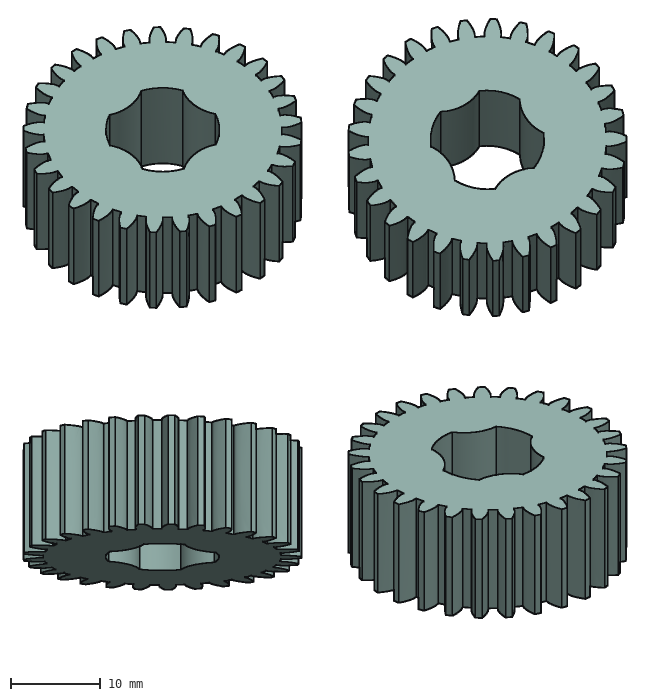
import cadquery as cq
import math

TEETH = 29
OVERALL_LENGTH = 31.0
FACE_WIDTH = 12.5
PRESSURE_ANGLE = math.radians(20)
ADDENDUM_FACTOR = 1.0
DEDENDUM_FACTOR = 1.25
FLANK_STEPS = 6

BORE_RADIUS = 6.32
KEY_COUNT = 4
KEY_RADIUS = 5.08
KEY_INNER_DISTANCE = 5.1


def involute(angle):
    return math.tan(angle) - angle


def half_tooth_angle(flank_angle):
    """Angle from the tooth centre line to its flank, where the local pressure angle is flank_angle."""
    half_angle_at_pitch = math.pi / (2 * TEETH)
    return half_angle_at_pitch + involute(PRESSURE_ANGLE) - involute(flank_angle)


TOOTH_PITCH = 2 * math.pi / TEETH
TIP_TO_PITCH_RATIO = 1 + 2 * ADDENDUM_FACTOR / TEETH
TIP_FLANK_ANGLE = math.acos(math.cos(PRESSURE_ANGLE) / TIP_TO_PITCH_RATIO)
TIP_HALF_ANGLE = half_tooth_angle(TIP_FLANK_ANGLE)
BASE_HALF_ANGLE = half_tooth_angle(0)

TIP_RADIUS = OVERALL_LENGTH / 2 / math.cos(TOOTH_PITCH / 4 - TIP_HALF_ANGLE)
PITCH_RADIUS = TIP_RADIUS / TIP_TO_PITCH_RATIO
BASE_RADIUS = PITCH_RADIUS * math.cos(PRESSURE_ANGLE)
MODULE = 2 * PITCH_RADIUS / TEETH
ROOT_RADIUS = PITCH_RADIUS - DEDENDUM_FACTOR * MODULE


def polar(radius, angle):
    return (radius * math.cos(angle), radius * math.sin(angle))


def flank(centre, side):
    """Involute points from base to tip, on the side (-1 or +1) of the tooth centre line."""
    flank_angles = [TIP_FLANK_ANGLE * step / FLANK_STEPS for step in range(FLANK_STEPS + 1)]
    return [
        polar(BASE_RADIUS / math.cos(angle), centre + side * half_tooth_angle(angle))
        for angle in flank_angles
    ]


def add_tooth(outline, centre):
    """Continue the outline over one tooth and along the root to the next tooth."""
    rising = flank(centre, -1)
    falling = flank(centre, 1)[::-1]
    outline = outline.lineTo(*rising[0])
    outline = outline.spline(rising[1:], includeCurrent=True)
    outline = outline.threePointArc(polar(TIP_RADIUS, centre), falling[0])
    outline = outline.spline(falling[1:], includeCurrent=True)
    outline = outline.lineTo(*polar(ROOT_RADIUS, centre + BASE_HALF_ANGLE))
    return outline.threePointArc(
        polar(ROOT_RADIUS, centre + TOOTH_PITCH / 2),
        polar(ROOT_RADIUS, centre + TOOTH_PITCH - BASE_HALF_ANGLE),
    )


def gear_blank():
    """Gear body: radial flanks below the base circle and involutes above it."""
    outline = cq.Workplane("XY").moveTo(*polar(ROOT_RADIUS, -BASE_HALF_ANGLE))
    for tooth in range(TEETH):
        outline = add_tooth(outline, tooth * TOOTH_PITCH)
    return outline.close().extrude(FACE_WIDTH)


def bore():
    """Round through bore with a rounded key left standing on each side of the X and Y axes."""
    keys = (
        cq.Workplane("XY")
        .polarArray(KEY_INNER_DISTANCE + KEY_RADIUS, 0, 360, KEY_COUNT)
        .circle(KEY_RADIUS)
        .extrude(FACE_WIDTH)
    )
    return cq.Workplane("XY").circle(BORE_RADIUS).extrude(FACE_WIDTH).cut(keys)


result = gear_blank().cut(bore())